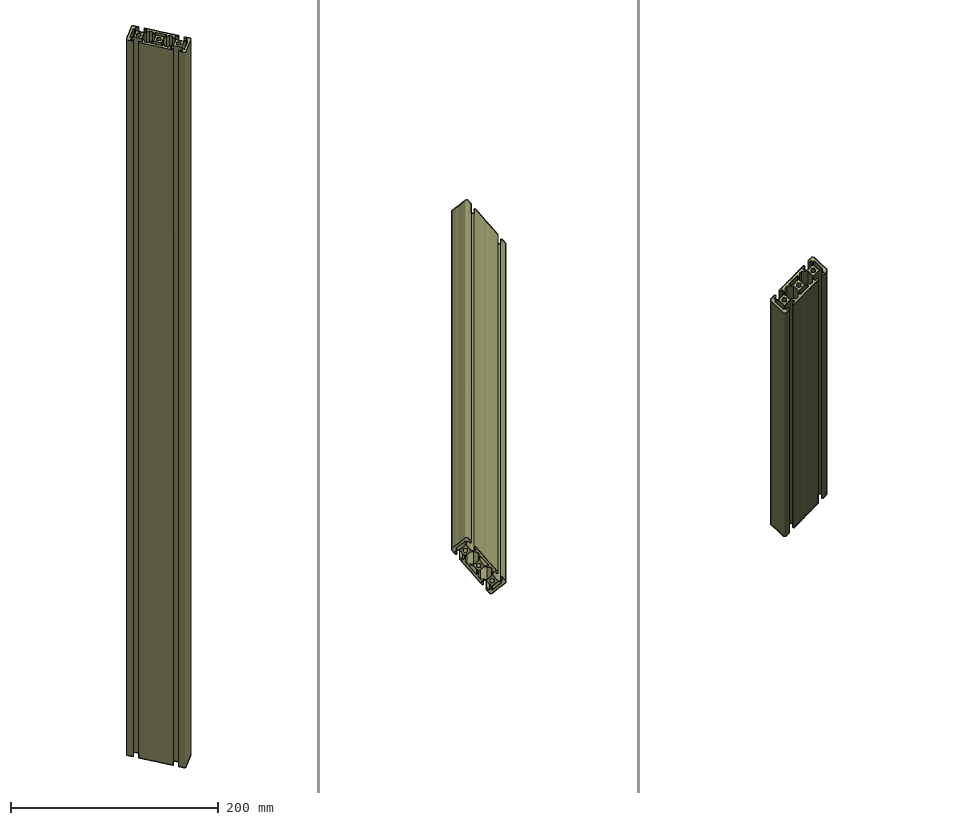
import cadquery as cq

length = 1000.0
pitch = 20.0
cell_count = 3
width = pitch * cell_count
corner_radius = 2.0

bore_diameter = 4.3

core_half = 4.1
floor_half = 3.7
floor_radius = 4.5
slot_half = 5.7
lip = 1.8
nose_radius = 0.8
mouth_width = 5.1

skin = 2.6
cavity_side_half = 2.9

groove_half = 3.5
groove_floor_half = 1.0
groove_depth = 0.2

half_pitch = pitch / 2
lip_underside = half_pitch - lip
skin_underside = half_pitch - skin
cell_centers = [(i - (cell_count - 1) / 2) * pitch for i in range(cell_count)]
first_x = cell_centers[0]
last_x = cell_centers[-1]


def prism(points):
    """Closed outline extruded over the whole length."""
    return cq.Workplane("XY").polyline(points).close().extrude(length)


def placed(cutter, x, angle):
    """Turn a cutter that faces +Y about Z, then move it to the cell at x."""
    return cutter.rotate((0, 0, 0), (0, 0, 1), angle).translate((x, 0, 0))


def slot_chamber(roof):
    """T-slot chamber facing +Y, with 45 degree flanks and a rounded floor."""
    shoulder = core_half + slot_half - floor_half
    chamber = prism(
        [
            (-floor_half, core_half),
            (floor_half, core_half),
            (slot_half, shoulder),
            (slot_half, roof),
            (-slot_half, roof),
            (-slot_half, shoulder),
        ]
    )
    return chamber.faces("<Y").edges("|Z").fillet(floor_radius)


def slot_mouth():
    """Opening between two lips whose inner and outer edges are rounded."""
    nose = mouth_width / 2
    flare = nose + nose_radius
    nose_bottom = lip_underside + nose_radius
    nose_top = half_pitch - nose_radius
    return (
        cq.Workplane("XY")
        .moveTo(-flare, lip_underside)
        .lineTo(flare, lip_underside)
        .radiusArc((nose, nose_bottom), nose_radius)
        .lineTo(nose, nose_top)
        .radiusArc((flare, half_pitch), nose_radius)
        .lineTo(-flare, half_pitch)
        .radiusArc((-nose, nose_top), nose_radius)
        .lineTo(-nose, nose_bottom)
        .radiusArc((-flare, lip_underside), nose_radius)
        .close()
        .extrude(length)
    )


def marking_groove():
    """Flat-bottomed shallow groove in the +Y face of a cell."""
    groove_floor = half_pitch - groove_depth
    return prism(
        [
            (-groove_half, half_pitch),
            (-groove_floor_half, groove_floor),
            (groove_floor_half, groove_floor),
            (groove_half, half_pitch),
        ]
    )


def cavity():
    """Closed cavity between two cells: a box with 45 degree corners, centred on the origin."""
    side = half_pitch - core_half
    roof_half = side - (skin_underside - cavity_side_half)
    return prism(
        [
            (-side, -cavity_side_half),
            (-roof_half, -skin_underside),
            (roof_half, -skin_underside),
            (side, -cavity_side_half),
            (side, cavity_side_half),
            (roof_half, skin_underside),
            (-roof_half, skin_underside),
            (-side, cavity_side_half),
        ]
    )


bar = cq.Workplane("XY").rect(width, pitch).extrude(length)
bar = bar.edges("|Z").fillet(corner_radius)

bore_points = [(x, 0) for x in cell_centers]
bar = bar.cut(cq.Workplane("XY").pushPoints(bore_points).circle(bore_diameter / 2).extrude(length))

for x in (first_x, last_x):
    for angle in (0, 180):
        bar = bar.cut(placed(slot_chamber(lip_underside), x, angle))
        bar = bar.cut(placed(slot_mouth(), x, angle))

for x, angle in ((0, 0), (0, 180), (first_x, 90), (last_x, -90)):
    bar = bar.cut(placed(slot_chamber(skin_underside), x, angle))
    bar = bar.cut(placed(marking_groove(), x, angle))

for x in cell_centers[:-1]:
    bar = bar.cut(cavity().translate((x + half_pitch, 0, 0)))

result = bar